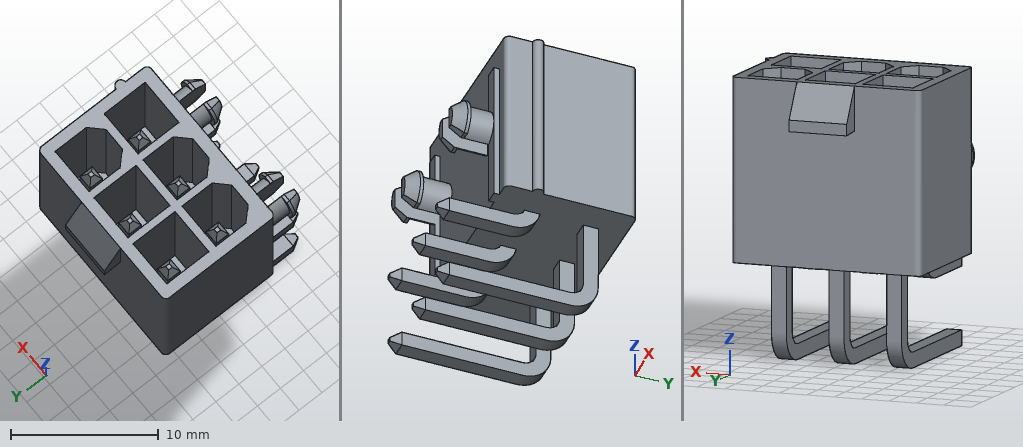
import cadquery as cq
import math


overall_height = 19.93

housing_width = 13.8
housing_depth = 9.6
housing_height = 12.8
corner_radius = 0.4

pitch = 4.2
columns = [-pitch, 0, pitch]
front_row_y = 2.89
rear_row_y = front_row_y + pitch

cavity_width = 3.65
cavity_length = 3.55
cavity_floor_z = 2.8
cavity_key_chamfer = 0.94
front_cavity_y = 0.94
rear_cavity_y = 5.1
rear_wall_flare = 0.1

pin_size = 1.1
pin_tip_size = 0.32
pin_tip_length = 0.72
pin_top_z = 8.77
pin_end_y = -3.99
bend_inner_radius = 1.0
front_tail_z = -1.1
rear_tail_z = housing_height - overall_height + pin_size / 2

latch_width = 4.2
latch_reach = 1.42
latch_nose_top_z = 10.4
latch_nose_bottom_z = 9.6
latch_root_bottom_z = 9.69

rib_width = 0.94
rib_height = 10.75
rib_thickness = 0.4

peg_z = 6.2
peg_radius = 1.5
peg_head_radius = 1.81
peg_slot_width = 1.15
peg_head_start = 2.2
peg_head_rim = 0.24
peg_nose_length = 0.88
peg_nose_inset = 0.62
peg_head_half_height = math.sqrt(peg_radius**2 - (peg_slot_width / 2) ** 2)

bead_y = 2.35
bead_radius = 0.4


def make_block():
    block = cq.Workplane("XY").box(housing_width, housing_depth, housing_height, centered=(True, False, False))
    return block.edges("|Z").fillet(corner_radius)


def make_cavity(x, y, keyed, rear_flare):
    """Cavity cutter: optional chamfers on its -Y corners, +Y wall flaring out towards the top."""
    depth = housing_height - cavity_floor_z
    back_y = y + cavity_length
    cavity = (
        cq.Workplane("YZ", origin=(x, 0, cavity_floor_z))
        .polyline([(y, 0), (back_y, 0), (back_y + rear_flare, depth), (y, depth)])
        .close()
        .extrude(cavity_width / 2, both=True)
    )
    if keyed:
        cavity = cavity.faces("<Y").edges("|Z").chamfer(cavity_key_chamfer)
    return cavity


def add_pin_tip(pin, face):
    """Extend the square end of a pin with a blunt pyramid."""
    return (
        pin.faces(face)
        .workplane(centerOption="CenterOfMass")
        .rect(pin_size, pin_size)
        .workplane(offset=pin_tip_length)
        .rect(pin_tip_size, pin_tip_size)
        .loft(combine=True)
    )


def make_pin(x, y, tail_z):
    """Right-angle pin: vertical leg, round bend, then a tail pointing along -Y."""
    bend_radius = bend_inner_radius + pin_size / 2
    bend_mid = bend_radius * (1 - math.sqrt(0.5))
    path = (
        cq.Workplane("YZ", origin=(x, 0, 0))
        .moveTo(y, pin_top_z - pin_tip_length)
        .lineTo(y, tail_z + bend_radius)
        .threePointArc((y - bend_mid, tail_z + bend_mid), (y - bend_radius, tail_z))
        .lineTo(pin_end_y + pin_tip_length, tail_z)
    )
    section = cq.Workplane("XY", origin=(x, y, pin_top_z - pin_tip_length)).rect(pin_size, pin_size)
    pin = section.sweep(path)
    pin = add_pin_tip(pin, ">Z")
    return add_pin_tip(pin, "<Y")


def make_latch():
    return (
        cq.Workplane("YZ")
        .moveTo(housing_depth - corner_radius, housing_height)
        .lineTo(housing_depth, housing_height)
        .lineTo(housing_depth + latch_reach, latch_nose_top_z)
        .lineTo(housing_depth + latch_reach, latch_nose_bottom_z)
        .lineTo(housing_depth, latch_root_bottom_z)
        .lineTo(housing_depth - corner_radius, latch_root_bottom_z)
        .close()
        .extrude(latch_width / 2, both=True)
    )


def make_rib(side):
    """Standoff rib whose inner edge lines up with the outer side of the peg slot."""
    rib_x = side * (pitch + peg_slot_width / 2 + rib_width / 2)
    return (
        cq.Workplane("XY")
        .box(rib_width, 2 * rib_thickness, rib_height, centered=(True, True, False))
        .translate((rib_x, 0, 0))
    )


def make_peg(x):
    """Round peg with a flat-sided tapered head, split by a vertical slot."""
    peg_length = peg_head_start + peg_head_rim + peg_nose_length
    flat_half_width = math.sqrt(peg_head_radius**2 - peg_head_half_height**2)

    def head_outline(distance):
        return (
            cq.Workplane("XZ", origin=(x, -distance, peg_z))
            .moveTo(-flat_half_width, peg_head_half_height)
            .lineTo(flat_half_width, peg_head_half_height)
            .threePointArc((peg_head_radius, 0), (flat_half_width, -peg_head_half_height))
            .lineTo(-flat_half_width, -peg_head_half_height)
            .threePointArc((-peg_head_radius, 0), (-flat_half_width, peg_head_half_height))
            .close()
        )

    nose_taper = math.degrees(math.atan2(peg_nose_inset, peg_nose_length))
    shaft = cq.Workplane("XZ", origin=(x, 0, peg_z)).circle(peg_radius).extrude(peg_head_start)
    rim = head_outline(peg_head_start).extrude(peg_head_rim)
    nose = head_outline(peg_head_start + peg_head_rim).extrude(peg_nose_length, taper=nose_taper)
    slot = (
        cq.Workplane("XZ", origin=(x, 0, peg_z))
        .rect(peg_slot_width, 2 * peg_head_radius)
        .extrude(peg_length)
    )
    return shaft.union(rim).union(nose).cut(slot)


def make_bead():
    """Half-round bead running the full height of the housing."""
    return cq.Workplane("XY").center(housing_width / 2, bead_y).circle(bead_radius).extrude(housing_height)


result = make_block().union(make_latch()).union(make_bead())

for side in (-1, 1):
    result = result.union(make_rib(side)).union(make_peg(side * pitch))

for x in columns:
    is_last = x == columns[-1]
    result = result.cut(make_cavity(x, front_cavity_y, not is_last, 0))
    result = result.cut(make_cavity(x, rear_cavity_y, is_last, rear_wall_flare))

for x in columns:
    result = result.union(make_pin(x, front_row_y, front_tail_z))
    result = result.union(make_pin(x, rear_row_y, rear_tail_z))